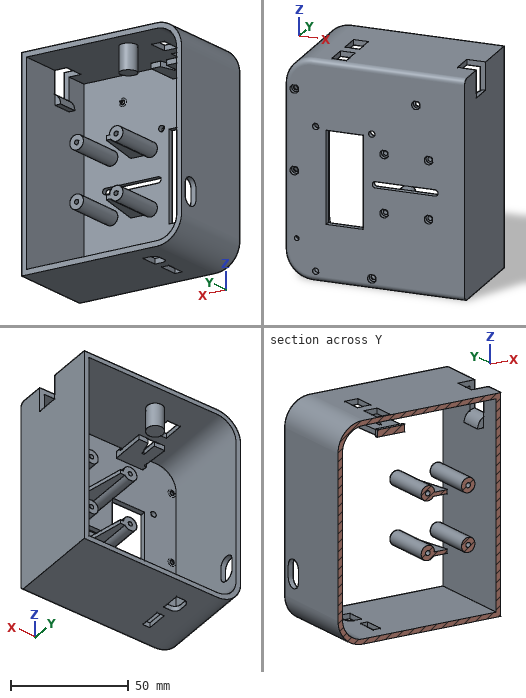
import cadquery as cq

WIDTH = 82.55
DEPTH = 45.85
HEIGHT = 100.58
WALL = 2.54
CORNER_RADIUS = 12.7
FRONT_FILLET = 2.54

BORE_DIAMETER = 2.1
COUNTERBORE_DIAMETER = 3.8
COUNTERBORE_DEPTH = 2.0
COUNTERBORED_WALL_HOLES = [(4.45, 86.1), (60.2, 86.1), (4.45, 49.1)]

DISPLAY_HOLE_DIAMETER = 2.8
DISPLAY_LEFT = 14.3
DISPLAY_RIGHT = 40.0
DISPLAY_BOTTOM = 4.8
DISPLAY_TOP = 70.4
DISPLAY_HOLES = [
    (DISPLAY_LEFT, DISPLAY_BOTTOM),
    (DISPLAY_LEFT, DISPLAY_TOP),
    (DISPLAY_RIGHT, DISPLAY_TOP),
]
DISPLAY_COUNTERBORED_HOLE = (DISPLAY_RIGHT, DISPLAY_BOTTOM)

INDICATOR_HOLE = (5.6, 18.6)
INDICATOR_DIAMETER = 2.1

WINDOW_X = (19.1, 36.05)
WINDOW_Z = (26.7, 69.3)
FRONT_SLOT_CENTER = (55.3, 47.6)
FRONT_SLOT_LENGTH = 30.1
FRONT_SLOT_WIDTH = 2.8

STANDOFF_CENTER = (55.8, 48.5)
STANDOFF_PITCH_X = 20.4
STANDOFF_PITCH_Z = 26.8
STANDOFF_RADIUS = 3.5
STANDOFF_END = 28.5
RIB_THICKNESS = 2.0
RIB_END_REACH = 5.1

SWITCH_SLOT_X = (20.0, 26.7)
SWITCH_SLOT_LENGTH = 10.1
SWITCH_SLOT_STARTS = (4.3, 19.5)
NOTCH_LEFT = 73.9
NOTCH_Y = (13.7, 24.4)
NOTCH_DEPTH = 12.7
CABLE_LIP_RADIUS = 5.5
CABLE_LIP_TOP = HEIGHT - NOTCH_DEPTH
CABLE_LIP_BOTTOM = CABLE_LIP_TOP - CABLE_LIP_RADIUS

CABLE_OPENING_CENTER = (39.0, 24.1)
CABLE_OPENING_HEIGHT = 13.1
CABLE_OPENING_WIDTH = 8.0

REAR_FLOOR_OPENING_Y = (26.8, 36.0)
REAR_FLOOR_OPENING_RADIUS = 3.0
FRONT_FLOOR_OPENING_LEFT = 23.0
FRONT_FLOOR_OPENING_Y = (11.7, 22.0)

LEDGE_TOP = 94.0
LEDGE_THICKNESS = 2.5
LEDGE_X_AT_ROOT = (21.3, 34.0)
LEDGE_REAR_LEFT = 20.5
LEDGE_REAR = 19.0
LEDGE_ROOT_END = 5.2
LEDGE_ROOT_STEP = 1.0
GAP_LEFT = 26.0
GAP_FRONT = 11.7
GAP_FRONT_RIGHT = 27.0
GAP_REAR_RIGHT = 29.2

CEILING_BOSS_CENTER = (36.0, 33.3)
CEILING_BOSS_RADIUS = 4.1
CEILING_BOSS_LENGTH = 12.0

STANDOFFS = [
    (STANDOFF_CENTER[0] + side * STANDOFF_PITCH_X / 2, STANDOFF_CENTER[1] + level * STANDOFF_PITCH_Z / 2)
    for side in (-1, 1)
    for level in (-1, 1)
]


def block(x_range, y_range, z_range):
    """Box between the given limits."""
    size = [limits[1] - limits[0] for limits in (x_range, y_range, z_range)]
    return cq.Workplane("XY").box(*size, centered=False).translate((x_range[0], y_range[0], z_range[0]))


def rod(center, diameter, start, end):
    """Cylinder along Y at an (X, Z) centre."""
    front = cq.Workplane("XZ", origin=(center[0], start, center[1]))
    return front.circle(diameter / 2).extrude(start - end)


def case_shell():
    body = block((0, WIDTH), (0, DEPTH), (0, HEIGHT)).edges("|Y and <X").fillet(CORNER_RADIUS)
    body = body.faces("<Y").edges("not >X").fillet(FRONT_FILLET)
    cavity = block((WALL, WIDTH - WALL), (WALL, DEPTH), (WALL, HEIGHT - WALL))
    cavity = cavity.edges("|Y and <X").fillet(CORNER_RADIUS - WALL)
    return body.cut(cavity)


def standoff_rib(center):
    """Flat rib, widest at the front wall, on the right side of a standoff."""
    x, z = center
    outline = [
        (x, WALL),
        (STANDOFF_CENTER[0], WALL),
        (x + RIB_END_REACH, STANDOFF_END),
        (x, STANDOFF_END),
    ]
    base = cq.Workplane("XY", origin=(0, 0, z - RIB_THICKNESS))
    return base.polyline(outline).close().extrude(RIB_THICKNESS)


def cable_lip():
    """Quarter-round rest for a cable, filling the lower end of the notch in the right wall."""
    lip_left = WIDTH - CABLE_LIP_RADIUS
    return (
        cq.Workplane("XZ", origin=(0, NOTCH_Y[0], 0))
        .moveTo(WIDTH, CABLE_LIP_TOP)
        .radiusArc((lip_left, CABLE_LIP_BOTTOM), -CABLE_LIP_RADIUS)
        .lineTo(WIDTH, CABLE_LIP_BOTTOM)
        .close()
        .extrude(NOTCH_Y[0] - NOTCH_Y[1])
    )


def switch_ledge():
    """Flat ledge with a gap that widens toward the back, on a full-width root at the front wall."""
    root_left, right = LEDGE_X_AT_ROOT
    outline = [
        (root_left, WALL),
        (right, WALL),
        (right, LEDGE_REAR),
        (GAP_REAR_RIGHT, LEDGE_REAR),
        (GAP_FRONT_RIGHT, GAP_FRONT),
        (GAP_LEFT, GAP_FRONT),
        (GAP_LEFT, LEDGE_REAR),
        (LEDGE_REAR_LEFT, LEDGE_REAR),
    ]
    bottom = LEDGE_TOP - LEDGE_THICKNESS
    ledge = cq.Workplane("XY", origin=(0, 0, bottom)).polyline(outline).close().extrude(LEDGE_THICKNESS)
    root = block((SWITCH_SLOT_X[0], right), (WALL, LEDGE_ROOT_END), (bottom, LEDGE_TOP + LEDGE_ROOT_STEP))
    return ledge.union(root)


def ceiling_boss():
    ceiling = HEIGHT - WALL
    return (
        cq.Workplane("XY", origin=(*CEILING_BOSS_CENTER, ceiling))
        .circle(CEILING_BOSS_RADIUS)
        .extrude(-CEILING_BOSS_LENGTH)
    )


def stepped_hole(center, end):
    """Through bore with a counterbore in the front face."""
    bore = rod(center, BORE_DIAMETER, 0, end)
    return bore.union(rod(center, COUNTERBORE_DIAMETER, 0, COUNTERBORE_DEPTH))


def front_slot():
    return (
        cq.Workplane("XZ", origin=(FRONT_SLOT_CENTER[0], 0, FRONT_SLOT_CENTER[1]))
        .slot2D(FRONT_SLOT_LENGTH, FRONT_SLOT_WIDTH)
        .extrude(-WALL)
    )


def cable_opening():
    return (
        cq.Workplane("YZ", origin=(0, *CABLE_OPENING_CENTER))
        .slot2D(CABLE_OPENING_HEIGHT, CABLE_OPENING_WIDTH, 90)
        .extrude(WALL)
    )


def floor_openings():
    rear = block(SWITCH_SLOT_X, REAR_FLOOR_OPENING_Y, (0, WALL))
    rear = rear.edges("|Z and <X").fillet(REAR_FLOOR_OPENING_RADIUS)
    front = block((FRONT_FLOOR_OPENING_LEFT, SWITCH_SLOT_X[1]), FRONT_FLOOR_OPENING_Y, (0, WALL))
    return rear.union(front)


result = case_shell()
result = result.union(switch_ledge())
result = result.union(ceiling_boss())
for standoff in STANDOFFS:
    result = result.union(rod(standoff, 2 * STANDOFF_RADIUS, WALL, STANDOFF_END))
    if standoff[0] < STANDOFF_CENTER[0]:
        result = result.union(standoff_rib(standoff))
for standoff in STANDOFFS:
    result = result.cut(stepped_hole(standoff, STANDOFF_END))
for hole in COUNTERBORED_WALL_HOLES + [DISPLAY_COUNTERBORED_HOLE]:
    result = result.cut(stepped_hole(hole, WALL))
for hole in DISPLAY_HOLES:
    result = result.cut(rod(hole, DISPLAY_HOLE_DIAMETER, 0, WALL))
result = result.cut(rod(INDICATOR_HOLE, INDICATOR_DIAMETER, 0, WALL))
result = result.cut(block(WINDOW_X, (0, WALL), WINDOW_Z))
result = result.cut(front_slot())
for start in SWITCH_SLOT_STARTS:
    slot_y = (start, start + SWITCH_SLOT_LENGTH)
    result = result.cut(block(SWITCH_SLOT_X, slot_y, (HEIGHT - WALL, HEIGHT)))
result = result.cut(block((NOTCH_LEFT, WIDTH), NOTCH_Y, (HEIGHT - WALL, HEIGHT)))
result = result.cut(block((WIDTH - WALL, WIDTH), NOTCH_Y, (CABLE_LIP_BOTTOM, HEIGHT)))
result = result.union(cable_lip())
result = result.cut(cable_opening())
result = result.cut(floor_openings())